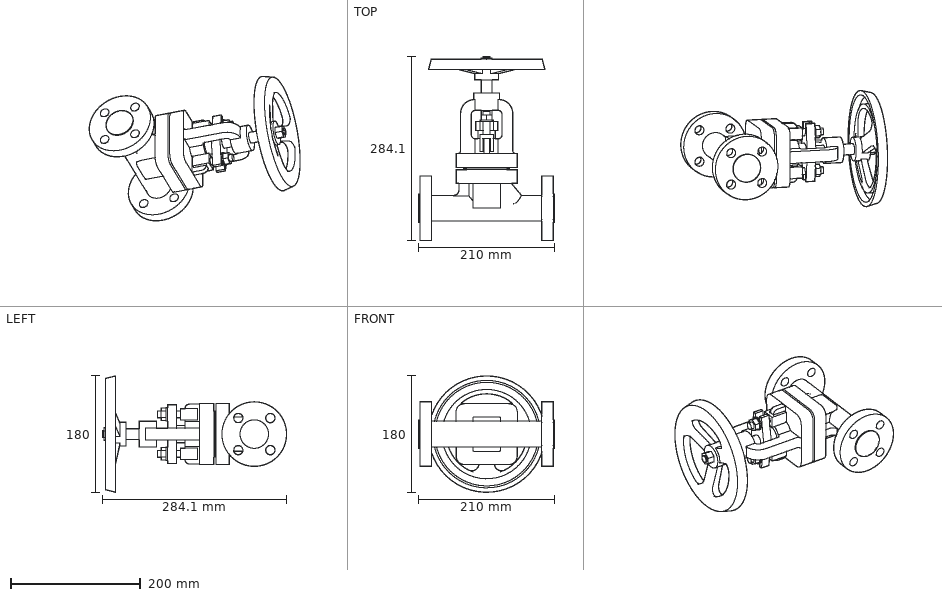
import cadquery as cq
import math


face_to_face = 210.0
pipe_radius = 20.0
flange_radius = 50.0
flange_thickness = 18.0
raised_face_radius = 22.0
raised_face_height = 2.0
flange_bolt_circle_radius = 35.0
flange_bolt_count = 4
flange_hole_radius = 7.0

square_side = 94.5
square_corner_radius = 13.0
body_flange_bottom = 38.5
body_flange_top = 59.5
bonnet_bottom = 62.5
bonnet_top = 84.6
gasket_radius = 31.0
gasket_top = 60.8
spigot_radius = 35.5

core_half_thickness = 18.8
neck_center_x = -6.0
neck_radius = 22.5
seat_tube_angle = 50.0
seat_tube_axis_x = 46.0
web_left_x = -43.0
web_thickness = 13.0
web_fillet_radius = 8.0
pad_width = 43.0
pad_half_span = 26.5
pad_thickness = 8.5
pad_corner_radius = 2.0

box_radius = 20.0
box_top = 107.3
rib_thickness = 9.0
rib_half_length = 46.5
rib_corner_radius = 7.7

yoke_half_width = 40.5
yoke_thickness = 18.5
yoke_top = 168.0
yoke_corner_radius = 22.0
window_half_width = 23.5
window_corner_radius = 6.0
yoke_hub_bottom = 151.0
yoke_hub_top = 178.0
yoke_foot_radius = 4.0

gland_radius = 13.5
gland_plate_bottom = 120.0
gland_plate_top = 134.0
gland_half_length = 45.5
gland_mid_half_width = 17.25
gland_end_half_width = 10.5
gland_bolt_offset = 30.5
gland_bolt_radius = 5.5
gland_bolt_top = 149.5
gland_slot_half_width = 5.5
washer_radius = 10.5
washer_thickness = 2.0
nut_across_flats = 17.0
nut_height = 8.0
clevis_bottom = 87.5
clevis_top = 114.0
clevis_height = 18.0
clevis_width = 21.0
clevis_slot_width = 11.5
clevis_slot_top = 108.0

stem_radius = 8.5
stem_end_radius = 5.5
stem_end = 234.1
stem_nut_top = 232.1
wheel_top = 230.1
wheel_bottom = 214.1
wheel_radius = 90.0
wheel_top_radius = 86.0
rim_inner_radius = 83.0
floor_outer_radius = 80.0
floor_y = 224.0
lip_outer_radius = 69.0
lip_inner_radius = 62.0
lip_y = 218.0
hub_radius = 18.5
hub_bottom = 198.0
hub_top = 221.0
spoke_inner_y = 205.3
spoke_thickness = 9.0
spoke_count = 3
spoke_half_width = 12.0
spoke_fillet_radius = 11.0


def y_cylinder(radius, y_start, y_end, x=0.0, z=0.0):
    """Cylinder along Y between two heights."""
    start = cq.Vector(x, y_start, z)
    return cq.Workplane(cq.Solid.makeCylinder(radius, y_end - y_start, start, cq.Vector(0, 1, 0)))


def x_cylinder(radius, x_start, x_end, y=0.0, z=0.0):
    """Cylinder along X between two stations."""
    start = cq.Vector(x_start, y, z)
    return cq.Workplane(cq.Solid.makeCylinder(radius, x_end - x_start, start, cq.Vector(1, 0, 0)))


def block(x_range, y_range, z_range):
    """Axis-aligned block given by its end coordinates."""
    sizes = [high - low for low, high in (x_range, y_range, z_range)]
    corner = (x_range[0], y_range[0], z_range[0])
    return cq.Workplane("XY").box(*sizes, centered=False).translate(corner)


def ground_plan(y):
    """Workplane across the stem at height y: local x is X, local y is Z, extruding toward -Y."""
    return cq.Workplane("XZ", origin=(0, y, 0))


def hex_nut(y_start, y_end, z=0.0):
    """Hexagon nut along Y with two corners on the Z line."""
    across_corners = nut_across_flats / math.cos(math.pi / 6)
    nut = ground_plan(y_end).polygon(6, across_corners).extrude(y_end - y_start)
    return nut.rotate((0, 0, 0), (0, 1, 0), 90).translate((0, 0, z))


def pipe_with_flanges():
    end = face_to_face / 2
    flange_outer = end - raised_face_height
    flange_inner = flange_outer - flange_thickness
    body = x_cylinder(pipe_radius, -flange_inner, flange_inner)
    body = body.union(x_cylinder(raised_face_radius, -end, -flange_inner))
    body = body.union(x_cylinder(raised_face_radius, flange_inner, end))
    for start, stop in ((-flange_outer, -flange_inner), (flange_inner, flange_outer)):
        flange = x_cylinder(flange_radius, start, stop)
        for index in range(flange_bolt_count):
            angle = math.radians(45 + index * 360 / flange_bolt_count)
            hole_y = flange_bolt_circle_radius * math.cos(angle)
            hole_z = flange_bolt_circle_radius * math.sin(angle)
            flange = flange.cut(x_cylinder(flange_hole_radius, start, stop, hole_y, hole_z))
        body = body.union(flange)
    return body


def square_flange(y_start, y_end):
    plate = ground_plan(y_end).rect(square_side, square_side).extrude(y_end - y_start)
    return plate.edges("|Y").fillet(square_corner_radius)


def body_core():
    """Round neck with a slab on its right that ends in a slanted tube of the same thickness."""
    angle = math.radians(seat_tube_angle)
    tube_top_x = seat_tube_axis_x - body_flange_top / math.tan(angle)
    slab = (
        cq.Workplane("XY")
        .moveTo(neck_center_x, 0)
        .lineTo(seat_tube_axis_x, 0)
        .lineTo(tube_top_x, body_flange_top)
        .lineTo(neck_center_x, body_flange_top)
        .close()
        .extrude(core_half_thickness, both=True)
    )
    neck = y_cylinder(neck_radius, 0, body_flange_top, neck_center_x)
    tube_start = cq.Vector(seat_tube_axis_x, 0, 0)
    tube_direction = cq.Vector(-math.cos(angle), math.sin(angle), 0)
    tube_length = body_flange_top / math.sin(angle)
    tube = cq.Workplane(cq.Solid.makeCylinder(core_half_thickness, tube_length, tube_start, tube_direction))
    inside_flange = square_side / 2
    below_flange_top = block(
        (-inside_flange, face_to_face / 2),
        (-pipe_radius, body_flange_bottom + 1),
        (-inside_flange, inside_flange),
    )
    return slab.union(neck).union(tube).intersect(below_flange_top)


def left_web():
    """Flat web between the pipe and the square flange, blended into the pipe."""
    tangent_y = pipe_radius + web_fillet_radius
    return (
        cq.Workplane("XY")
        .moveTo(0, 0)
        .lineTo(web_left_x - web_fillet_radius, 0)
        .lineTo(web_left_x - web_fillet_radius, pipe_radius)
        .radiusArc((web_left_x, tangent_y), -web_fillet_radius)
        .lineTo(web_left_x, body_flange_bottom)
        .lineTo(0, body_flange_bottom)
        .close()
        .extrude(web_thickness / 2, both=True)
    )


def name_pads():
    """Raised pads on the +Z and -Z sides of the body."""
    envelope = ground_plan(body_flange_bottom).rect(pad_width, 2 * pad_half_span).extrude(body_flange_bottom)
    envelope = envelope.edges("|Y").fillet(pad_corner_radius)
    gap = pad_half_span - pad_thickness
    middle = block((-pad_width, pad_width), (0, body_flange_bottom), (-gap, gap))
    return envelope.cut(middle)


def stuffing_box():
    box = y_cylinder(box_radius, bonnet_top, box_top)
    rib = block(
        (-rib_thickness / 2, rib_thickness / 2),
        (bonnet_top, box_top),
        (-rib_half_length, rib_half_length),
    )
    rib = rib.edges("|X and >Y").fillet(rib_corner_radius)
    return box.union(rib)


def yoke_foot(side):
    """Concave blend from the outer face of a yoke arm into the bonnet."""
    arm_x = side * yoke_half_width
    tip_x = arm_x + side * yoke_foot_radius
    return (
        cq.Workplane("XY")
        .moveTo(arm_x, bonnet_top)
        .lineTo(tip_x, bonnet_top)
        .radiusArc((arm_x, bonnet_top + yoke_foot_radius), side * yoke_foot_radius)
        .close()
        .extrude(yoke_thickness / 2, both=True)
    )


def yoke():
    frame = block(
        (-yoke_half_width, yoke_half_width),
        (bonnet_top, yoke_top),
        (-yoke_thickness / 2, yoke_thickness / 2),
    )
    frame = frame.edges("|Z and >Y").fillet(yoke_corner_radius)
    window = block(
        (-window_half_width, window_half_width),
        (box_top, yoke_hub_bottom),
        (-yoke_thickness, yoke_thickness),
    )
    frame = frame.cut(window.edges("|Z").fillet(window_corner_radius))
    for side in (-1, 1):
        frame = frame.union(yoke_foot(side))
    hub = y_cylinder(box_radius, yoke_hub_bottom, yoke_hub_top)
    return frame.union(hub)


def gland():
    """Follower sleeve with a tapered plate, slotted at both ends for the gland bolts."""
    outline = [
        (gland_mid_half_width, 0),
        (gland_end_half_width, gland_half_length),
        (-gland_end_half_width, gland_half_length),
        (-gland_mid_half_width, 0),
        (-gland_end_half_width, -gland_half_length),
        (gland_end_half_width, -gland_half_length),
    ]
    plate = ground_plan(gland_plate_top).polyline(outline).close().extrude(gland_plate_top - gland_plate_bottom)
    for side in (-1, 1):
        z_limits = sorted((side * gland_bolt_offset, side * (gland_half_length + 1)))
        height = (gland_plate_bottom, gland_plate_top)
        plate = plate.cut(block((-gland_slot_half_width, gland_slot_half_width), height, z_limits))
        plate = plate.cut(y_cylinder(gland_slot_half_width, *height, z=side * gland_bolt_offset))
    sleeve = y_cylinder(gland_radius, box_top, gland_plate_bottom)
    return plate.union(sleeve)


def gland_bolt(z):
    """Bolt with a forked foot straddling the rib, and a washer and nut on the gland plate."""
    half_height = clevis_height / 2
    z_limits = (z - half_height, z + half_height)
    foot = block((-clevis_width / 2, clevis_width / 2), (clevis_bottom, clevis_top), z_limits)
    slot_half = clevis_slot_width / 2
    foot = foot.cut(block((-slot_half, slot_half), (clevis_bottom, clevis_slot_top), z_limits))
    shank = y_cylinder(gland_bolt_radius, clevis_slot_top, gland_bolt_top, z=z)
    washer_top = gland_plate_top + washer_thickness
    washer = y_cylinder(washer_radius, gland_plate_top, washer_top, z=z)
    nut = hex_nut(washer_top, washer_top + nut_height, z)
    return foot.union(shank).union(washer).union(nut)


def stem():
    rod = y_cylinder(stem_radius, bonnet_top, hub_top)
    nut = hex_nut(hub_top, stem_nut_top)
    end = y_cylinder(stem_end_radius, hub_top, stem_end)
    return rod.union(nut).union(end)


def wheel_window(angle):
    """Opening between two spokes, with rounded corners."""
    half_sector = math.radians(180 / spoke_count)
    reach = 2 * lip_inner_radius
    apex = spoke_half_width / math.sin(half_sector)
    side_x = apex + reach * math.cos(half_sector)
    side_z = reach * math.sin(half_sector)
    depth = wheel_top - hub_bottom
    wedge = (
        ground_plan(wheel_top)
        .polyline([(apex, 0), (side_x, side_z), (side_x, -side_z)])
        .close()
        .extrude(depth)
    )
    opening = wedge.intersect(y_cylinder(lip_inner_radius, hub_bottom, wheel_top))
    opening = opening.edges("|Y").edges(">Z or <Z").fillet(spoke_fillet_radius)
    return opening.rotate((0, 0, 0), (0, 1, 0), angle)


def handwheel():
    profile = (
        cq.Workplane("XY")
        .polyline([
            (stem_radius, spoke_inner_y),
            (lip_inner_radius, lip_y),
            (lip_outer_radius, lip_y),
            (lip_outer_radius, floor_y),
            (floor_outer_radius, floor_y),
            (rim_inner_radius, wheel_bottom),
            (wheel_radius, wheel_bottom),
            (wheel_top_radius, wheel_top),
            (lip_inner_radius, wheel_top),
            (stem_radius, spoke_inner_y + spoke_thickness),
        ])
        .close()
    )
    wheel = profile.revolve(360, (0, 0, 0), (0, 1, 0))
    for index in range(spoke_count):
        wheel = wheel.cut(wheel_window(-90 + index * 360 / spoke_count))
    return wheel.union(y_cylinder(hub_radius, hub_bottom, hub_top))


result = pipe_with_flanges()
result = result.union(body_core()).union(left_web()).union(name_pads())
result = result.union(square_flange(body_flange_bottom, body_flange_top))
result = result.union(y_cylinder(gasket_radius, body_flange_top, gasket_top))
result = result.union(y_cylinder(spigot_radius, gasket_top, bonnet_bottom))
result = result.union(square_flange(bonnet_bottom, bonnet_top))
result = result.union(stuffing_box()).union(yoke()).union(stem()).union(gland())
for bolt_z in (-gland_bolt_offset, gland_bolt_offset):
    result = result.union(gland_bolt(bolt_z))
result = result.union(handwheel())